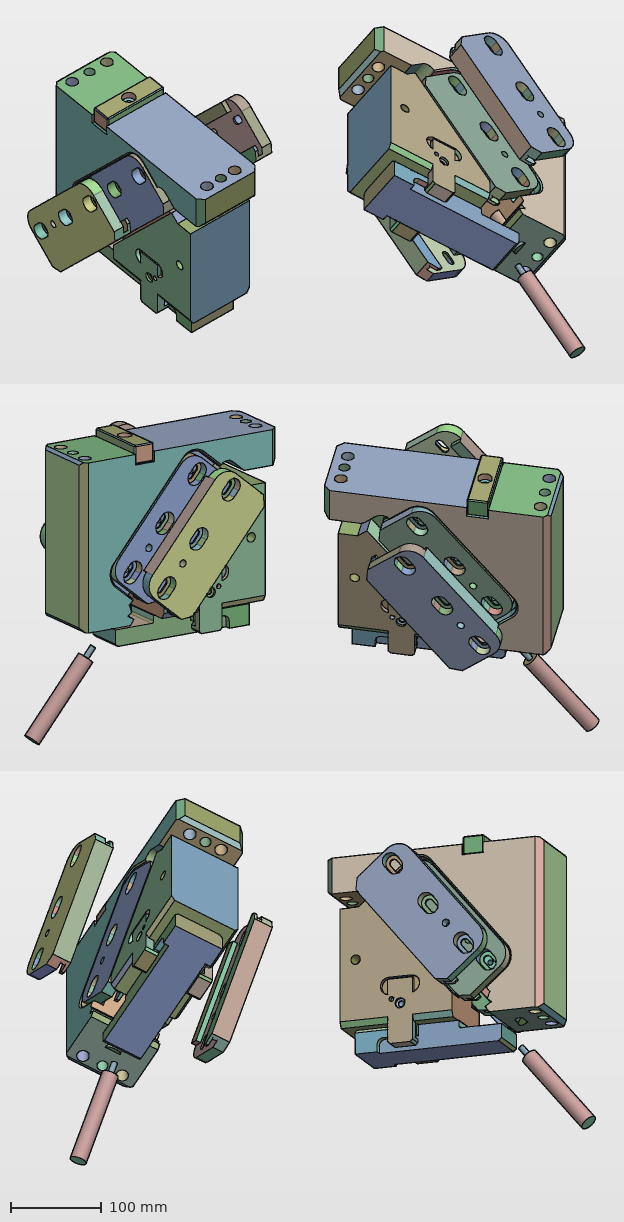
import cadquery as cq
import math


HALF_WIDTH = 42.5
SLOPE = 50
SLOPE_X, SLOPE_Z = 107.0, 110.2
COS, SIN = math.cos(math.radians(SLOPE)), math.sin(math.radians(SLOPE))
SLIDE_FACE = -20.5
END_ALONG = 89.5

DRIVER_LENGTH = 254.0
DRIVER_HEIGHT = 195.5
ARM_BOTTOM = 154.5
CORNER_CHAMFER = 7.5
BOTTOM_CHAMFER = 5.0
TOP_CHAMFER = 3.5
RELIEF_ALONG = 100.0
RELIEF_RADIUS = 10.5
TOE_POINTS = [(63.7, 15.0), (59.0, 11.5), (66.5, 6.5), (62.0, 0)]
REAR_HOLES_X, REAR_HOLE_PITCH = 13.8, 25.0
ARM_HOLES_X, ARM_HOLE_PITCH = 238.5, 20.0
OUTER_HOLE_DIAMETER, MIDDLE_HOLE_DIAMETER = 13.8, 12.0
TOE_ALONG = -96.0
SEAT_ALONG, SEAT_ACROSS = -130.0, -15.5
SEAT_LENGTH = 49.2
SPRING_DIAMETER = 19.0

PLATE_HALF_LENGTH = 82.5
PLATE_TOP, PLATE_BOTTOM = 25.5, -50.0
PLATE_RADIUS = 19.5
PLATE_CHAMFER = 10.0
PLATE_THICKNESS = 13.0
RAIL_DEPTH, HOOK_DEPTH = 19.0, 22.5
RAIL_HALF_LENGTH = 62.7
RAIL_BOTTOM = 12.0
HOOK_NECK, HOOK_TOP = -46.0, -33.7
SCREW_PITCH = 65.0
SLOT_TRAVEL, SLOT_WIDTH = 9.0, 9.0
COUNTERBORE_WIDTH, COUNTERBORE_DEPTH = 18.0, 11.0
PIN_HOLE_DIAMETER = 8.0
PLATE_SCREW_DIAMETER, PLATE_SCREW_DEPTH = 6.0, 27.0
PULLED_OUT = 70.0
POCKET_HALF_LENGTH, POCKET_TOP, POCKET_BOTTOM = 88.0, 26.5, -53.0
POCKET_RIM = 1.7

SLIDER_LEFT, SLIDER_RIGHT, SLIDER_TOP = 105.5, 237.3, 136.2
SLIDER_CHAMFER_HEIGHT, SLIDER_CHAMFER_WIDTH = 6.7, 4.0
STOP_PIN_DIAMETER, STOP_PIN_ACROSS, STOP_PIN_LENGTH = 6.5, -39.5, 9.5
SIDE_HOLE_X, SIDE_HOLE_Z, SIDE_HOLE_DIAMETER, SIDE_HOLE_DEPTH = 218.8, 76.2, 10.8, 20.2
CLIP_X, CLIP_WIDTH, CLIP_TOP, CLIP_BOTTOM = 166.5, 29.3, 49.5, -24.3
CLIP_INNER_Y, FOOT_INNER_Y, FOOT_TOP = 32.5, 26.0, -14.0
CLIP_CHAMFER = 2.7
FOOT_CHAMFER = 3.5
RECESS_TOP, RECESS_LENGTH, RECESS_HEIGHT, RECESS_DEPTH = 52.0, 46.0, 19.5, 5.0
CLIP_SCREW_Z, CLIP_HEAD_DIAMETER, CLIP_HEAD_DEPTH = 21.2, 11.5, 2.7
CLIP_SOCKET_DIAMETER, CLIP_SOCKET_DEPTH = 6.7, 5.5
CLIP_PIN_X, CLIP_PIN_Z, CLIP_PIN_DIAMETER = 176.5, 26.5, 5.5

BASE_LEFT, BASE_STEP_X, BASE_RIGHT = 54.3, 104.0, 224.0
BASE_BOTTOM, BASE_STEP_Z = -28.3, -8.8
BASE_FILLET, BASE_CHAMFER = 2.5, 3.5
CORE_HALF_WIDTH, EAR_HALF_WIDTH = 23.3, 30.0
EAR_CHAMFER = 4.0
EAR_CUT_RIGHT, EAR_CUT_TOP, EAR_CUT_RADIUS = 198.2, -12.8, 7.5

KEY_LEFT, KEY_WIDTH = 68.8, 24.5
KEY_BOTTOM, KEY_TOP = 183.5, 205.0
KEY_HALF_LENGTH = 40.5
KEY_CHAMFER = 1.5
KEY_BORE, KEY_HEAD_BORE, KEY_HEAD_DEPTH = 7.5, 16.0, 8.0
SPRING_X, SPRING_Z = -39.5, -126.0
SPRING_LENGTH, ROD_DIAMETER, ROD_LENGTH = 108.5, 6.7, 15.0


def sloped_point(along, across):
    """X and Z of a point given along and across the slope."""
    return (SLOPE_X + along * COS - across * SIN, SLOPE_Z + along * SIN + across * COS)


def profile_solid(points, half_width):
    """XZ outline extruded evenly to both sides of the middle plane."""
    return cq.Workplane("XZ").polyline(points).close().extrude(half_width, both=True)


def side_plane():
    """Sloped frame on the -Y side face; its normal points outward."""
    return cq.Workplane(cq.Plane((SLOPE_X, -HALF_WIDTH, SLOPE_Z), (COS, 0, SIN), (0, -1, 0)))


def slope_cylinder(x, z, diameter, length):
    """Round bar in the middle plane that starts at (x, z) and runs up the slope."""
    return cq.Workplane(cq.Plane((x, 0, z), (0, 1, 0), (COS, 0, SIN))).circle(diameter / 2).extrude(length)


def side_block(half_length, bottom, top, outer_depth, inner_depth):
    """Block in the sloped frame between two depths below the side face."""
    return (
        side_plane().workplane(offset=-outer_depth)
        .center(0, (bottom + top) / 2)
        .rect(2 * half_length, top - bottom)
        .extrude(outer_depth - inner_depth)
    )


def both_sides(shape):
    """The shape and its mirror image on the +Y side."""
    return [shape, shape.mirror("XZ")]


def rounded_top(half_length, top, lower_right, depth, taper=0):
    """Symmetric plate with rounded top corners; lower_right lists its lower right points."""
    corner_along = half_length - PLATE_RADIUS
    corner_across = top - PLATE_RADIUS
    reach = PLATE_RADIUS * math.sqrt(0.5)
    outline = side_plane().moveTo(-lower_right[0][0], lower_right[0][1])
    for along, across in lower_right:
        outline = outline.lineTo(along, across)
    outline = (
        outline.lineTo(half_length, corner_across)
        .threePointArc((corner_along + reach, corner_across + reach), (corner_along, top))
        .lineTo(-corner_along, top)
        .threePointArc((-corner_along - reach, corner_across + reach), (-half_length, corner_across))
    )
    for along, across in reversed(lower_right[1:]):
        outline = outline.lineTo(-along, across)
    return outline.close().extrude(-depth, taper=taper)


def plate_body():
    body = side_block(PLATE_HALF_LENGTH, PLATE_BOTTOM, PLATE_TOP, 0, PLATE_THICKNESS)
    rail = side_block(RAIL_HALF_LENGTH, RAIL_BOTTOM, PLATE_TOP, PLATE_THICKNESS, RAIL_DEPTH)
    neck = side_block(PLATE_HALF_LENGTH, PLATE_BOTTOM, HOOK_NECK, PLATE_THICKNESS, RAIL_DEPTH)
    hook = side_block(PLATE_HALF_LENGTH, PLATE_BOTTOM, HOOK_TOP, RAIL_DEPTH, HOOK_DEPTH)
    chamfer_along = PLATE_HALF_LENGTH - PLATE_CHAMFER
    chamfer_across = PLATE_BOTTOM + PLATE_CHAMFER
    outline = rounded_top(
        PLATE_HALF_LENGTH, PLATE_TOP,
        [(chamfer_along, PLATE_BOTTOM), (PLATE_HALF_LENGTH, chamfer_across)], HOOK_DEPTH,
    )
    return body.union(rail).union(neck).union(hook).intersect(outline)


def make_plate():
    screw_spots = [(-SCREW_PITCH, 0), (0, 0), (SCREW_PITCH, 0)]
    slots = (
        side_plane().pushPoints(screw_spots)
        .slot2D(SLOT_TRAVEL + SLOT_WIDTH, SLOT_WIDTH).extrude(-PLATE_THICKNESS)
    )
    counterbores = (
        side_plane().pushPoints(screw_spots)
        .slot2D(SLOT_TRAVEL + COUNTERBORE_WIDTH, COUNTERBORE_WIDTH).extrude(-COUNTERBORE_DEPTH)
    )
    pin_hole = (
        side_plane().center(-SCREW_PITCH / 2, 0)
        .circle(PIN_HOLE_DIAMETER / 2).extrude(-PLATE_THICKNESS)
    )
    return plate_body().cut(slots).cut(counterbores).cut(pin_hole)


def plate_pocket():
    """Room for a fitted plate: a chamfered pocket, a rail groove and a hooked groove."""
    pocket = rounded_top(
        POCKET_HALF_LENGTH, POCKET_TOP, [(POCKET_HALF_LENGTH, POCKET_BOTTOM)], PLATE_THICKNESS,
    )
    rim_length = POCKET_HALF_LENGTH + POCKET_RIM
    rim = rounded_top(
        rim_length, POCKET_TOP + POCKET_RIM, [(rim_length, POCKET_BOTTOM)], POCKET_RIM, taper=45,
    )
    rail_groove = side_block(RAIL_HALF_LENGTH, RAIL_BOTTOM, PLATE_TOP, PLATE_THICKNESS, RAIL_DEPTH)
    neck_groove = side_block(END_ALONG, PLATE_BOTTOM, HOOK_NECK, PLATE_THICKNESS, RAIL_DEPTH)
    hook_groove = side_block(END_ALONG, PLATE_BOTTOM, HOOK_TOP, RAIL_DEPTH, HOOK_DEPTH)
    return pocket.union(rim).union(rail_groove).union(neck_groove).union(hook_groove)


def side_hole(x, z, diameter, depth):
    """Blind drilled hole with a conical tip, from the -Y side face."""
    tip_depth = depth + diameter / 4
    drill = [(0, 0), (diameter / 2, 0), (diameter / 2, -depth), (0, -tip_depth)]
    return (
        cq.Workplane("XZ", origin=(x, -HALF_WIDTH, z))
        .polyline(drill).close().revolve(360, (0, 0), (0, 1))
        .rotate((x, -HALF_WIDTH, z), (x + 3.5, -HALF_WIDTH, z), 90)
    )


def driver_outline():
    """Side outline: rear chamfers, jagged toe, slide face, rounded relief and arm."""
    arm_across = (ARM_BOTTOM - SLOPE_Z - RELIEF_ALONG * SIN) / COS
    fillet_along = RELIEF_ALONG - RELIEF_RADIUS
    fillet_across = SLIDE_FACE - RELIEF_RADIUS
    reach = RELIEF_RADIUS * math.sqrt(0.5)
    outline = cq.Workplane("XZ").moveTo(0, BOTTOM_CHAMFER).lineTo(BOTTOM_CHAMFER, 0)
    for point in reversed(TOE_POINTS):
        outline = outline.lineTo(*point)
    return (
        outline.lineTo(*sloped_point(TOE_ALONG, SLIDE_FACE))
        .lineTo(*sloped_point(fillet_along, SLIDE_FACE))
        .threePointArc(
            sloped_point(fillet_along + reach, fillet_across + reach),
            sloped_point(RELIEF_ALONG, fillet_across),
        )
        .lineTo(*sloped_point(RELIEF_ALONG, arm_across))
        .lineTo(DRIVER_LENGTH - BOTTOM_CHAMFER, ARM_BOTTOM)
        .lineTo(DRIVER_LENGTH, ARM_BOTTOM + BOTTOM_CHAMFER)
        .lineTo(DRIVER_LENGTH, DRIVER_HEIGHT)
        .lineTo(TOP_CHAMFER, DRIVER_HEIGHT)
        .lineTo(0, DRIVER_HEIGHT - TOP_CHAMFER)
        .close().extrude(HALF_WIDTH, both=True)
    )


def hole_row(x, pitch):
    """Three vertical through holes across the driver, the middle one smaller."""
    outer = (
        cq.Workplane("XY").pushPoints([(x, -pitch), (x, pitch)])
        .circle(OUTER_HOLE_DIAMETER / 2).extrude(DRIVER_HEIGHT)
    )
    middle = cq.Workplane("XY").center(x, 0).circle(MIDDLE_HOLE_DIAMETER / 2).extrude(DRIVER_HEIGHT)
    return outer.union(middle)


def make_driver():
    cornered_block = (
        cq.Workplane("XY").center(DRIVER_LENGTH / 2, 0)
        .rect(DRIVER_LENGTH, 2 * HALF_WIDTH).extrude(DRIVER_HEIGHT)
        .edges("|Z").chamfer(CORNER_CHAMFER)
    )
    driver = driver_outline().intersect(cornered_block)
    seat_x, seat_z = sloped_point(SEAT_ALONG, SEAT_ACROSS)
    driver = driver.union(slope_cylinder(seat_x, seat_z, SPRING_DIAMETER, SEAT_LENGTH))
    for cutter in both_sides(plate_pocket()):
        driver = driver.cut(cutter)
    for along in (-SCREW_PITCH, 0, SCREW_PITCH):
        screw_hole = side_hole(*sloped_point(along, 0), PLATE_SCREW_DIAMETER, PLATE_SCREW_DEPTH)
        for cutter in both_sides(screw_hole):
            driver = driver.cut(cutter)
    key_slot = (
        cq.Workplane("XY").workplane(offset=KEY_BOTTOM).center(KEY_LEFT + KEY_WIDTH / 2, 0)
        .rect(KEY_WIDTH, 2 * HALF_WIDTH).extrude(DRIVER_HEIGHT - KEY_BOTTOM)
    )
    driver = driver.cut(key_slot)
    return driver.cut(hole_row(REAR_HOLES_X, REAR_HOLE_PITCH)).cut(hole_row(ARM_HOLES_X, ARM_HOLE_PITCH))


def slider_block():
    shoulder_across = (SLIDER_TOP - SLOPE_Z - END_ALONG * SIN) / COS
    left_along = (SLIDER_LEFT - SLOPE_X + SLIDE_FACE * SIN) / COS
    outline = [
        (SLIDER_LEFT, 0),
        sloped_point(left_along, SLIDE_FACE),
        sloped_point(END_ALONG, SLIDE_FACE),
        sloped_point(END_ALONG, shoulder_across),
        (SLIDER_RIGHT, SLIDER_TOP),
        (SLIDER_RIGHT, 0),
    ]
    bottom_edges = profile_solid(outline, HALF_WIDTH).faces("<Z").edges("|X")
    return bottom_edges.chamfer(SLIDER_CHAMFER_WIDTH, SLIDER_CHAMFER_HEIGHT)


def clip():
    """L-shaped clip, flush with the -Y side face, with a foot that points inward."""
    section = [
        (-HALF_WIDTH, CLIP_TOP),
        (-HALF_WIDTH, CLIP_BOTTOM),
        (-FOOT_INNER_Y, CLIP_BOTTOM),
        (-FOOT_INNER_Y, FOOT_TOP),
        (-CLIP_INNER_Y, FOOT_TOP),
        (-CLIP_INNER_Y, CLIP_TOP),
    ]
    foot_top = (CLIP_X, -(CLIP_INNER_Y + FOOT_INNER_Y) / 2, FOOT_TOP)
    return (
        cq.Workplane("YZ", origin=(CLIP_X - CLIP_WIDTH / 2, 0, 0))
        .polyline(section).close().extrude(CLIP_WIDTH)
        .faces("<Z").edges("|Y").chamfer(CLIP_CHAMFER)
        .faces(cq.selectors.NearestToPointSelector(foot_top)).edges("|Y").chamfer(FOOT_CHAMFER)
    )


def slider_end_relief():
    """Step past the end of the hooked groove, as deep as the hook."""
    slide_lip = side_block(RAIL_HALF_LENGTH, POCKET_BOTTOM, SLIDE_FACE, 0, HOOK_DEPTH)
    return side_block(END_ALONG, POCKET_BOTTOM, SLIDE_FACE, 0, HOOK_DEPTH).cut(slide_lip)


def make_slider():
    slider = slider_block()
    recess = (
        cq.Workplane("XZ", origin=(CLIP_X, -HALF_WIDTH, RECESS_TOP - RECESS_HEIGHT / 2))
        .slot2D(RECESS_LENGTH, RECESS_HEIGHT).extrude(-RECESS_DEPTH)
    )
    for cutter in both_sides(plate_pocket()) + both_sides(slider_end_relief()) + both_sides(recess):
        slider = slider.cut(cutter)
    for side_clip in both_sides(clip()):
        slider = slider.union(side_clip)
    holes = [
        side_hole(SIDE_HOLE_X, SIDE_HOLE_Z, SIDE_HOLE_DIAMETER, SIDE_HOLE_DEPTH),
        side_hole(CLIP_X, CLIP_SCREW_Z, CLIP_HEAD_DIAMETER, CLIP_HEAD_DEPTH),
        side_hole(CLIP_X, CLIP_SCREW_Z, CLIP_SOCKET_DIAMETER, CLIP_SOCKET_DEPTH),
        side_hole(CLIP_PIN_X, CLIP_PIN_Z, CLIP_PIN_DIAMETER, CLIP_SOCKET_DEPTH),
    ]
    for hole in holes:
        for cutter in both_sides(hole):
            slider = slider.cut(cutter)
    pin_x, pin_z = sloped_point(END_ALONG, STOP_PIN_ACROSS)
    return slider.union(slope_cylinder(pin_x, pin_z, STOP_PIN_DIAMETER, STOP_PIN_LENGTH))


def make_base():
    core_outline = [
        (BASE_LEFT + BASE_CHAMFER, BASE_BOTTOM),
        (BASE_LEFT, BASE_BOTTOM + BASE_CHAMFER),
        (BASE_LEFT, BASE_STEP_Z),
        (BASE_STEP_X, BASE_STEP_Z),
        (BASE_STEP_X, 0),
        (BASE_RIGHT, 0),
        (BASE_RIGHT, BASE_BOTTOM),
    ]
    core = profile_solid(core_outline, CORE_HALF_WIDTH)
    step_corner = cq.selectors.NearestToPointSelector((BASE_STEP_X, 0, BASE_STEP_Z))
    core = core.edges("|Y").edges(step_corner).fillet(BASE_FILLET)
    ear_left = CLIP_X - CLIP_WIDTH / 2
    ears = (
        cq.Workplane("XZ").moveTo(ear_left, 0).lineTo(BASE_RIGHT, 0).lineTo(BASE_RIGHT, BASE_BOTTOM)
        .lineTo(EAR_CUT_RIGHT, BASE_BOTTOM).lineTo(EAR_CUT_RIGHT, EAR_CUT_TOP - EAR_CUT_RADIUS)
        .radiusArc((EAR_CUT_RIGHT - EAR_CUT_RADIUS, EAR_CUT_TOP), -EAR_CUT_RADIUS)
        .lineTo(ear_left, EAR_CUT_TOP).close()
        .extrude(EAR_HALF_WIDTH, both=True)
        .faces(">Z").edges("|X").chamfer(EAR_CHAMFER)
    )
    return core.union(ears)


def make_key():
    return (
        cq.Workplane("XY").workplane(offset=KEY_BOTTOM).center(KEY_LEFT + KEY_WIDTH / 2, 0)
        .rect(KEY_WIDTH, 2 * KEY_HALF_LENGTH).extrude(KEY_TOP - KEY_BOTTOM)
        .edges().chamfer(KEY_CHAMFER)
        .faces(">Z").workplane().cboreHole(KEY_BORE, KEY_HEAD_BORE, KEY_HEAD_DEPTH)
    )


def make_spring():
    barrel = slope_cylinder(SPRING_X, SPRING_Z, SPRING_DIAMETER, SPRING_LENGTH)
    rod = slope_cylinder(SPRING_X, SPRING_Z, ROD_DIAMETER, SPRING_LENGTH + ROD_LENGTH)
    return barrel.union(rod)


driver = make_driver()
slider = make_slider()
base = make_base()
key = make_key()
spring = make_spring()
plates = []
for shift in (0, PULLED_OUT):
    for plate in both_sides(make_plate().translate((0, -shift, 0))):
        plates.append(plate.val())

result = cq.Compound.makeCompound(
    [driver.val(), slider.val(), base.val(), key.val(), spring.val(), *plates]
)